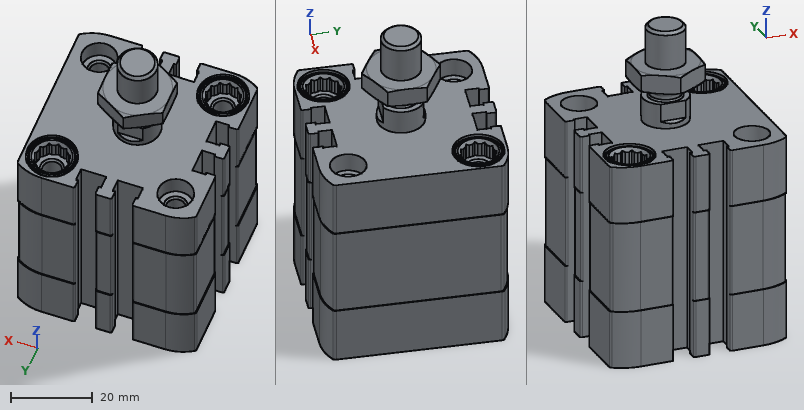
import cadquery as cq
import math

width = 47.0
half_width = width / 2
housing_height = 54.1
cap_height = 15.1
barrel_inset = 0.2

corner_arc_radius = 12.5
hole_offset = 16.2
corner_fillet = 0.95

rib_head_half = 2.15
rib_web_half = 1.5
throat_outer = 7.6
undercut_outer = 8.1
lip_thickness = 2.55
slot_depth = 6.0
lip_fillet = 0.4
rib_fillet = 0.5

through_diameter = 4.9
countersink_diameter = 6.0
counterbore_diameter = 9.0
counterbore_depth = 5.0

ring_groove_diameter = 12.8
ring_groove_depth = 0.8
bush_diameter = 11.9
bush_chamfer = 0.3
bush_recess = 0.2
socket_mouth_diameter = 10.2
socket_mouth_depth = 1.0
socket_minor_diameter = 8.5
socket_corner_diameter = 9.15
hexagon_turns = (0, 30)

rod_diameter = 12.0
rod_shoulder_z = 60.6
neck_diameter = 8.2
neck_base_diameter = 9.0
neck_base_top_z = 61.05
neck_top_z = 62.1
thread_start_z = 65.2
thread_diameter = 10.0
rod_tip_diameter = 8.5
rod_top_z = 79.6
rod_tip_chamfer_height = 0.8
wrench_flat_size = 10.0
wrench_flat_bottom_z = 55.95
wrench_ledge_drop = 0.55

nut_across_flats = 17.0
nut_bottom_z = 64.6
nut_thickness = 4.9
nut_chamfer_drop = 0.3


def cylinder(diameter, bottom, top):
    return cq.Workplane("XY").workplane(offset=bottom).circle(diameter / 2).extrude(top - bottom)


def cone(bottom_diameter, top_diameter, bottom, top):
    solid = cq.Solid.makeCone(bottom_diameter / 2, top_diameter / 2, top - bottom, cq.Vector(0, 0, bottom))
    return cq.Workplane("XY").add(solid)


def housing_block(inset, bottom, top):
    """Plain block whose four sides all lie `inset` inside the full outline."""
    side = half_width - inset
    radius = corner_arc_radius - inset
    arc_drop = radius - math.sqrt(radius**2 - (side - hole_offset) ** 2)
    half_sweep = math.asin((side - hole_offset) / radius) / 2
    corner_y = side - arc_drop
    mid_x = hole_offset + radius * math.sin(half_sweep)
    mid_y = side - radius * (1 - math.cos(half_sweep))
    return (
        cq.Workplane("XY")
        .workplane(offset=bottom)
        .moveTo(-hole_offset, side)
        .lineTo(hole_offset, side)
        .threePointArc((mid_x, mid_y), (side, corner_y))
        .lineTo(side, -corner_y)
        .threePointArc((mid_x, -mid_y), (hole_offset, -side))
        .lineTo(-hole_offset, -side)
        .threePointArc((-mid_x, -mid_y), (-side, -corner_y))
        .lineTo(-side, corner_y)
        .threePointArc((-mid_x, mid_y), (-hole_offset, side))
        .close()
        .extrude(top - bottom)
        .edges("|Z and (<X or >X)")
        .fillet(corner_fillet)
    )


def slot_pair(inset, bottom, top):
    """Cutter for the two T-slots in the +Y face, with rounded lips."""
    face = half_width - inset
    lip_inner = half_width - lip_thickness
    floor = half_width - slot_depth
    slot = (
        cq.Workplane("XY")
        .workplane(offset=bottom)
        .moveTo(rib_head_half - rib_fillet, face)
        .radiusArc((rib_head_half, face - rib_fillet), rib_fillet)
        .lineTo(rib_head_half, lip_inner)
        .lineTo(rib_web_half, lip_inner)
        .lineTo(rib_web_half, floor)
        .lineTo(undercut_outer, floor)
        .lineTo(undercut_outer, lip_inner)
        .lineTo(throat_outer, lip_inner)
        .lineTo(throat_outer, face - lip_fillet)
        .radiusArc((throat_outer + lip_fillet, face), lip_fillet)
        .close()
        .extrude(top - bottom)
    )
    return slot.union(slot.mirror("YZ"))


def housing_section(inset, bottom, top):
    """One stretch of the housing, slotted on the +Y, -X and -Y faces."""
    section = housing_block(inset, bottom, top)
    slots = slot_pair(inset, bottom, top)
    for turn in (0, 90, 180):
        section = section.cut(slots.rotate((0, 0, 0), (0, 0, 1), turn))
    return section


def bolt_passage():
    """Through hole with a countersunk mouth at the counterbore floor."""
    floor = housing_height - counterbore_depth
    countersink_depth = (countersink_diameter - through_diameter) / 2
    hole = cylinder(through_diameter, 0, floor)
    return hole.union(cone(through_diameter, countersink_diameter, floor - countersink_depth, floor))


def plain_hole():
    return bolt_passage().union(
        cylinder(counterbore_diameter, housing_height - counterbore_depth, housing_height)
    )


def bush_hole():
    """Twelve-point socket in a bush head that is set off by a ring groove."""
    floor = housing_height - counterbore_depth
    bush_top = housing_height - bush_recess
    groove_floor = housing_height - ring_groove_depth

    bush_head = cylinder(bush_diameter, groove_floor, bush_top).faces(">Z").chamfer(bush_chamfer)
    ring_groove = cylinder(ring_groove_diameter, groove_floor, housing_height).cut(bush_head)

    socket = cylinder(socket_minor_diameter, floor, bush_top)
    for turn in hexagon_turns:
        hexagon = cq.Workplane("XY").workplane(offset=floor).polygon(6, socket_corner_diameter)
        prism = hexagon.extrude(bush_top - floor)
        socket = socket.union(prism.rotate((0, 0, 0), (0, 0, 1), turn))
    mouth_bottom = bush_top - socket_mouth_depth
    mouth = cone(socket_minor_diameter, socket_mouth_diameter, mouth_bottom, bush_top)
    return bolt_passage().union(socket).union(mouth).union(ring_groove)


def make_housing():
    barrel_top = housing_height - cap_height
    housing = (
        housing_section(0, 0, cap_height)
        .union(housing_section(barrel_inset, cap_height, barrel_top))
        .union(housing_section(0, barrel_top, housing_height))
    )
    for side in (1, -1):
        housing = housing.cut(bush_hole().translate((side * hole_offset, side * hole_offset, 0)))
        housing = housing.cut(plain_hole().translate((side * hole_offset, -side * hole_offset, 0)))
    return housing.solids()


def wrench_flat():
    """Cutter for the flat on the +Y side, with a ledge that slopes down and outwards."""
    flat_y = wrench_flat_size / 2
    rod_radius = rod_diameter / 2
    return (
        cq.Workplane("YZ")
        .moveTo(flat_y, rod_shoulder_z)
        .lineTo(flat_y, wrench_flat_bottom_z)
        .lineTo(rod_radius, wrench_flat_bottom_z - wrench_ledge_drop)
        .lineTo(rod_radius, rod_shoulder_z)
        .close()
        .extrude(rod_radius, both=True)
    )


def make_rod():
    rod = (
        cq.Workplane("XZ")
        .moveTo(0, housing_height)
        .lineTo(rod_diameter / 2, housing_height)
        .lineTo(rod_diameter / 2, rod_shoulder_z)
        .lineTo(neck_base_diameter / 2, rod_shoulder_z)
        .lineTo(neck_diameter / 2, neck_base_top_z)
        .lineTo(neck_diameter / 2, neck_top_z)
        .lineTo(thread_diameter / 2, thread_start_z)
        .lineTo(thread_diameter / 2, rod_top_z - rod_tip_chamfer_height)
        .lineTo(rod_tip_diameter / 2, rod_top_z)
        .lineTo(0, rod_top_z)
        .close()
        .revolve(360, (0, 0, 0), (0, 1, 0))
    )
    flat = wrench_flat()
    return rod.cut(flat).cut(flat.mirror("XZ")).solids()


def make_nut():
    """Hexagon nut with corners on the Y axis, chamfered to the flats at both ends."""
    flat_radius = nut_across_flats / 2
    corner_radius = flat_radius / math.cos(math.pi / 6)
    nut_top_z = nut_bottom_z + nut_thickness
    hexagon = (
        cq.Workplane("XY")
        .workplane(offset=nut_bottom_z)
        .polygon(6, 2 * corner_radius)
        .extrude(nut_thickness)
        .rotate((0, 0, 0), (0, 0, 1), 90)
    )
    chamfer_envelope = (
        cq.Workplane("XZ")
        .moveTo(0, nut_bottom_z)
        .lineTo(flat_radius, nut_bottom_z)
        .lineTo(corner_radius, nut_bottom_z + nut_chamfer_drop)
        .lineTo(corner_radius, nut_top_z - nut_chamfer_drop)
        .lineTo(flat_radius, nut_top_z)
        .lineTo(0, nut_top_z)
        .close()
        .revolve(360, (0, 0, 0), (0, 1, 0))
    )
    bore = cylinder(thread_diameter, nut_bottom_z, nut_top_z)
    return hexagon.intersect(chamfer_envelope).cut(bore).solids()


housing = make_housing()
rod = make_rod()
nut = make_nut()

result = cq.Compound.makeCompound([housing.val(), rod.val(), nut.val()])